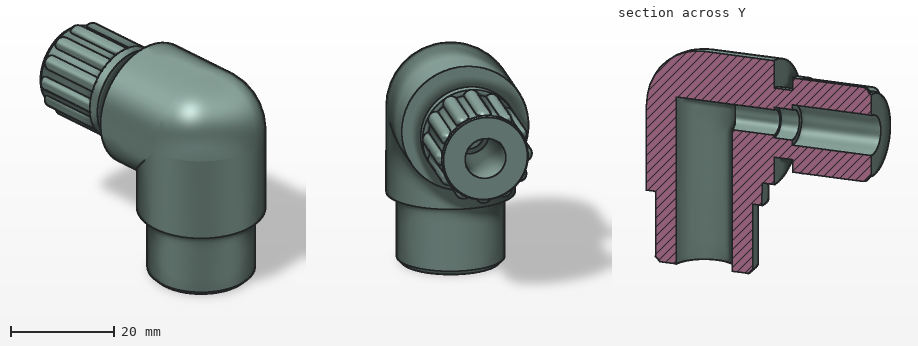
import cadquery as cq

LENGTH = 48.5
HEIGHT = 43.5
BODY_DIAMETER = 25.0
BODY_RADIUS = BODY_DIAMETER / 2
INLET_X = BODY_RADIUS - LENGTH
OUTLET_Z = BODY_RADIUS - HEIGHT

KNOB_LENGTH = 17.0
BODY_FACE_DEPTH = 20.95
COLLAR_THICKNESS = 2.1

COLLAR_DIAMETER = 19.0
GRIP_DIAMETER = 16.98
GRIP_BEVEL_LENGTH = 0.5
GRIP_BEVEL_DEPTH = 0.25
NECK_DIAMETER = 14.0
RIB_COUNT = 12
RIB_RADIUS = 1.5

SPIGOT_DIAMETER = 20.95
SPIGOT_LENGTH = 14.0
SPIGOT_CHAMFER = 0.95

INLET_BORE_DIAMETER = 8.0
NECK_BORE_DIAMETER = 6.0
PASSAGE_DIAMETER = 5.0
OUTLET_BORE_DIAMETER = 12.0


def inlet_cylinder(diameter, start, end):
    """Cylinder on the X axis between two distances from the inlet end."""
    plane = cq.Workplane("YZ").workplane(offset=INLET_X + start)
    return plane.circle(diameter / 2).extrude(end - start)


def outlet_cylinder(diameter, bottom, top):
    """Cylinder on the Z axis between two heights."""
    return cq.Workplane("XY").workplane(offset=bottom).circle(diameter / 2).extrude(top - bottom)


def make_elbow():
    """Two equal cylinders meeting in a mitre, rounded at the corner by a sphere."""
    inlet_arm = inlet_cylinder(BODY_DIAMETER, BODY_FACE_DEPTH, -INLET_X)
    outlet_arm = outlet_cylinder(BODY_DIAMETER, OUTLET_Z + SPIGOT_LENGTH, 0)
    corner = cq.Workplane("XY").sphere(BODY_RADIUS)
    return corner.union(inlet_arm).union(outlet_arm)


def make_spigot():
    spigot = outlet_cylinder(SPIGOT_DIAMETER, OUTLET_Z, OUTLET_Z + SPIGOT_LENGTH)
    return spigot.faces("<Z").edges().chamfer(SPIGOT_CHAMFER)


def make_knob():
    """Bevelled grip with round-nosed ribs running into a collar."""
    collar_start = KNOB_LENGTH - COLLAR_THICKNESS
    grip_radius = GRIP_DIAMETER / 2
    knob = (
        cq.Workplane("XY", origin=(INLET_X, 0, 0))
        .moveTo(0, 0)
        .lineTo(0, grip_radius - GRIP_BEVEL_DEPTH)
        .lineTo(GRIP_BEVEL_LENGTH, grip_radius)
        .lineTo(collar_start, grip_radius)
        .lineTo(collar_start, COLLAR_DIAMETER / 2)
        .lineTo(KNOB_LENGTH, COLLAR_DIAMETER / 2)
        .lineTo(KNOB_LENGTH, 0)
        .close()
        .revolve(360, (0, 0, 0), (1, 0, 0))
    )
    nose_center = GRIP_BEVEL_LENGTH + RIB_RADIUS
    rib_offset = COLLAR_DIAMETER / 2 - RIB_RADIUS
    rib = inlet_cylinder(2 * RIB_RADIUS, nose_center, collar_start)
    nose = cq.Workplane("XY").sphere(RIB_RADIUS).translate((INLET_X + nose_center, 0, 0))
    rib = rib.union(nose).translate((0, 0, rib_offset))
    for index in range(RIB_COUNT):
        knob = knob.union(rib.rotate((0, 0, 0), (1, 0, 0), index * 360 / RIB_COUNT))
    return knob


def make_bores():
    """Stepped inlet bore opening into a wider outlet bore."""
    inlet_bore = inlet_cylinder(INLET_BORE_DIAMETER, 0, KNOB_LENGTH)
    neck_bore = inlet_cylinder(NECK_BORE_DIAMETER, KNOB_LENGTH, BODY_FACE_DEPTH)
    passage = inlet_cylinder(PASSAGE_DIAMETER, BODY_FACE_DEPTH, -INLET_X)
    outlet_bore = outlet_cylinder(OUTLET_BORE_DIAMETER, OUTLET_Z, PASSAGE_DIAMETER / 2)
    return inlet_bore.union(neck_bore).union(passage).union(outlet_bore)


neck = inlet_cylinder(NECK_DIAMETER, KNOB_LENGTH, BODY_FACE_DEPTH)
result = make_elbow().union(make_spigot()).union(neck).union(make_knob()).cut(make_bores())